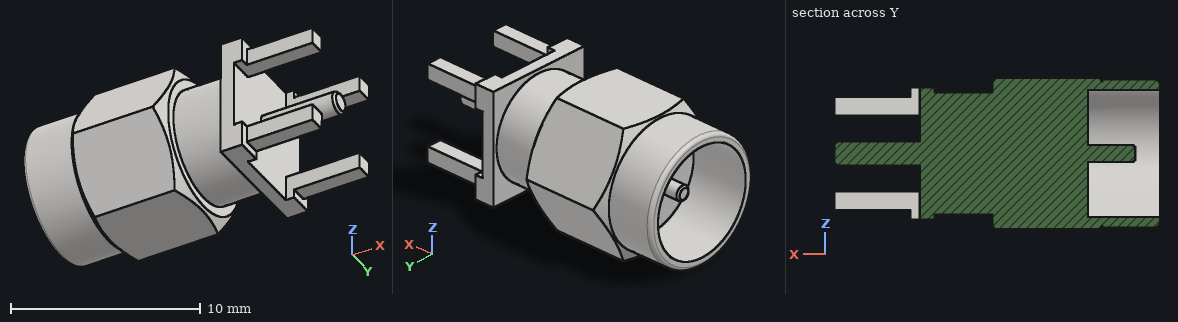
import cadquery as cq
import math

nut_start = 3.05
nut_end = 8.87
plate_start = 11.9
plate_web_thickness = 0.8
plate_pad_height = 0.5
overall_length = 17.2

barrel_diameter = 7.84
barrel_rim_radius = 0.25
bore_diameter = 6.7
bore_depth = 3.8

nut_across_flats = 8.0
nut_face_diameter = 7.6
nut_chamfer_angle = 30.0

neck_diameter = 6.5
plate_side = 7.0
pad_gap = 4.0
leg_side = 1.0

mating_pin_diameter = 0.92
mating_pin_start = 1.3
mating_pin_chamfer = 0.12
solder_pin_diameter = 1.3
solder_pin_chamfer = 0.15

nut_across_corners = nut_across_flats / math.cos(math.radians(30))
web_end = plate_start + plate_web_thickness
pad_end = web_end + plate_pad_height


def cylinder(diameter, start, end):
    """Solid cylinder on the X axis between two stations."""
    return cq.Workplane("YZ", origin=(start, 0, 0)).circle(diameter / 2).extrude(end - start)


def corner_blocks(side, inner_gap, start, end):
    """Four square blocks whose inner edges leave a cross-shaped gap."""
    pitch = inner_gap + side
    return (
        cq.Workplane("YZ", origin=(start, 0, 0))
        .rarray(pitch, pitch, 2, 2)
        .rect(side, side)
        .extrude(end - start)
    )


def make_barrel():
    return cylinder(barrel_diameter, 0, nut_start).faces("<X").edges().fillet(barrel_rim_radius)


def make_nut():
    """Hexagon with its corners trimmed by a cone at each end."""
    hexagon = (
        cq.Workplane("YZ", origin=(nut_start, 0, 0))
        .polygon(6, nut_across_corners)
        .extrude(nut_end - nut_start)
    )
    face_radius = nut_face_diameter / 2
    corner_radius = nut_across_corners / 2
    cone_length = (corner_radius - face_radius) * math.tan(math.radians(nut_chamfer_angle))
    envelope = (
        cq.Workplane("XY")
        .moveTo(nut_start, 0)
        .lineTo(nut_start, face_radius)
        .lineTo(nut_start + cone_length, corner_radius)
        .lineTo(nut_end - cone_length, corner_radius)
        .lineTo(nut_end, face_radius)
        .lineTo(nut_end, 0)
        .close()
        .revolve(360, (0, 0, 0), (1, 0, 0))
    )
    return hexagon.intersect(envelope)


def make_mounting_plate():
    """Square web with a pad and a solder leg at each corner."""
    web = (
        cq.Workplane("YZ", origin=(plate_start, 0, 0))
        .rect(plate_side, plate_side)
        .extrude(plate_web_thickness)
    )
    pad_side = (plate_side - pad_gap) / 2
    pads = corner_blocks(pad_side, pad_gap, web_end, pad_end)
    legs = corner_blocks(leg_side, pad_gap, web_end, overall_length)
    return web.union(pads).union(legs)


def make_mating_pin():
    pin = cylinder(mating_pin_diameter, mating_pin_start, bore_depth)
    return pin.faces("<X").chamfer(mating_pin_chamfer)


def make_solder_pin():
    pin = cylinder(solder_pin_diameter, web_end, overall_length)
    return pin.faces(">X").chamfer(solder_pin_chamfer)


body = make_barrel().union(make_nut()).union(cylinder(neck_diameter, nut_end, plate_start))
body = body.cut(cylinder(bore_diameter, 0, bore_depth))
result = body.union(make_mounting_plate()).union(make_mating_pin()).union(make_solder_pin())